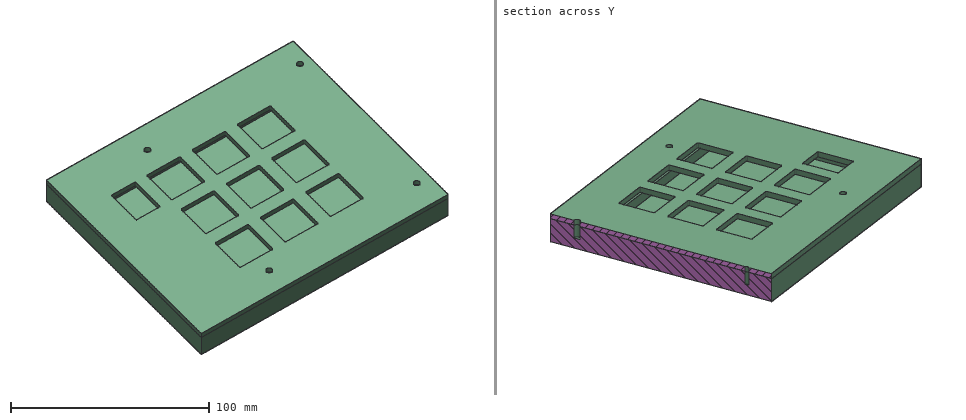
import cadquery as cq

case_width = 129.91
case_length = 156.13
case_height = 16.0
plate_thickness = 3.0
base_height = case_height - plate_thickness

key_pitch = 28.6
key_size = 20.9
key_corner_radius = 0.5
key_centre_x = 2.1
key_centre_y = 3.4

slot_length = 15.1
slot_centre_y = -50.5

screw_diameter = 3.4
screw_places = [(-50.5, 71.4), (49.3, 70.0), (-50.5, -25.0), (51.5, -25.0)]

recess_width = 79.6
recess_length = 128.0
recess_floor = 6.0
board_thickness = 1.6
screw_floor = recess_floor


def cover_plate():
    plate = cq.Workplane("XY").workplane(offset=base_height)
    plate = plate.rect(case_width, case_length).extrude(plate_thickness)
    return plate.cut(key_openings()).cut(slot_opening()).cut(screw_holes())


def key_openings():
    return (
        cq.Workplane("XY")
        .workplane(offset=base_height)
        .center(key_centre_x, key_centre_y)
        .rarray(key_pitch, key_pitch, 3, 3)
        .rect(key_size, key_size)
        .extrude(plate_thickness)
        .edges("|Z")
        .fillet(key_corner_radius)
    )


def slot_opening():
    return (
        cq.Workplane("XY")
        .workplane(offset=base_height)
        .center(key_centre_x - key_pitch, slot_centre_y)
        .rect(key_size, slot_length)
        .extrude(plate_thickness)
    )


def screw_holes():
    """Blind holes that run through the plate and down into the base."""
    return (
        cq.Workplane("XY")
        .workplane(offset=screw_floor)
        .pushPoints(screw_places)
        .circle(screw_diameter / 2)
        .extrude(case_height - screw_floor)
    )


def base_box():
    base = cq.Workplane("XY").rect(case_width, case_length).extrude(base_height)
    recess = (
        cq.Workplane("XY")
        .workplane(offset=recess_floor)
        .rect(recess_width, recess_length)
        .extrude(base_height - recess_floor)
    )
    return base.cut(recess).cut(screw_holes())


def recess_board():
    """Flat board that fills the outline of the recess."""
    return (
        cq.Workplane("XY")
        .workplane(offset=recess_floor)
        .rect(recess_width, recess_length)
        .extrude(board_thickness)
    )


cover = cover_plate()
base = base_box()
board = recess_board()

result = cq.Compound.makeCompound([cover.val(), base.val(), board.val()])